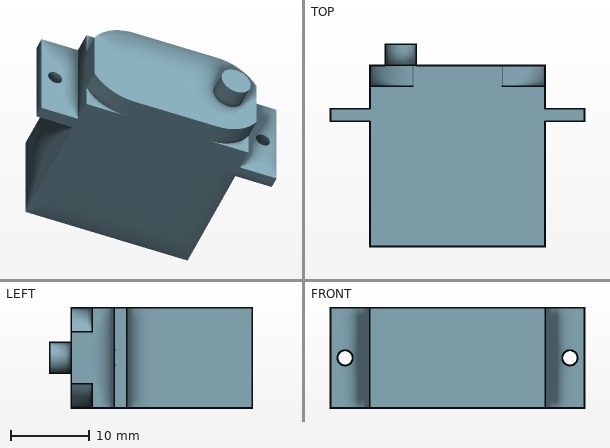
import cadquery as cq

overall_width = 32.5
overall_depth = 25.9
height = 12.85

case_width = 22.42
case_depth = 23.17

rounded_depth = 2.7
corner_radius = height / 2
corner_center_inset = 5.5

ear_thickness = 1.62
ear_start = 16.02
hole_diameter = 1.92
hole_edge_distance = 1.9

shaft_diameter = 4.0
shaft_inset = 3.95
shaft_length = overall_depth - case_depth


def block(width, depth, start):
    """Full-height block centred on X and Z, running toward +Y from start."""
    solid = cq.Workplane("XY").box(width, depth, height, centered=(True, False, True))
    return solid.translate((0, start, 0))


def cylinder(x, diameter, start, length):
    """Cylinder along +Y at mid height."""
    return cq.Workplane("XZ", origin=(x, start, 0)).circle(diameter / 2).extrude(-length)


def rounded_end():
    """Block whose sides are arcs about two centres, trimmed flat at the case sides."""
    start = case_depth - rounded_depth
    center_x = case_width / 2 - corner_center_inset
    end = block(2 * center_x, rounded_depth, start)
    for side in (-1, 1):
        end = end.union(cylinder(side * center_x, 2 * corner_radius, start, rounded_depth))
    return end.intersect(block(case_width, rounded_depth, start))


def mounting_ears():
    """Plate across the case with one screw hole in each ear."""
    ears = block(overall_width, ear_thickness, ear_start)
    hole_x = overall_width / 2 - hole_edge_distance
    for side in (-1, 1):
        ears = ears.cut(cylinder(side * hole_x, hole_diameter, ear_start, ear_thickness))
    return ears


main_case = block(case_width, case_depth - rounded_depth, 0)
shaft = cylinder(shaft_inset - case_width / 2, shaft_diameter, case_depth, shaft_length)

result = main_case.union(rounded_end()).union(mounting_ears()).union(shaft)